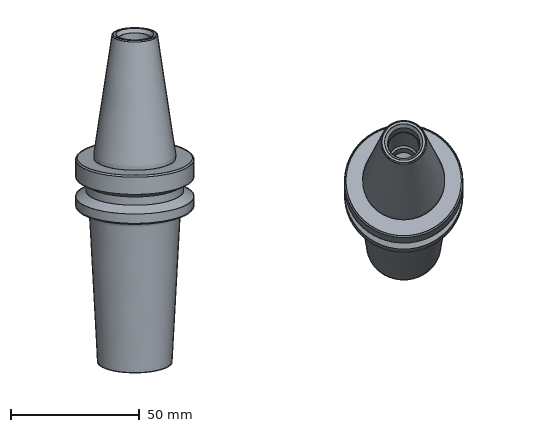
import cadquery as cq
import math

gauge_radius = 31.75 / 2
taper_slope = 7 / 48
shank_top = 48.4
shank_tip_radius = gauge_radius - shank_top * taper_slope
land_top = -0.4
land_radius = gauge_radius - land_top * taper_slope
tip_chamfer = 0.4

flange_radius = 46 / 2
flange_top = -2.0
flange_bottom = -22.0
flange_chamfer = 0.6
groove_centre = -13.6
groove_mouth_width = 8.0
groove_floor_radius = 38 / 2
groove_wall_angle = 30

nose_end = -85.0
nose_end_radius = 29 / 2
nose_half_angle = 3
neck_fillet = 3.0

mouth_radius = 7.4
mouth_depth = 1.5
bore_radius = 12.5 / 2
bore_depth = 7.0
thread_radius = 12 / 2
thread_depth = 24.0
drill_radius = 10.2 / 2
drill_depth = 30.0
drill_point_angle = 118


def add_groove(profile):
    """Continue the outline down the flange rim through the V-sided groove."""
    wall_depth = flange_radius - groove_floor_radius
    mouth_half = groove_mouth_width / 2
    floor_half = mouth_half - wall_depth * math.tan(math.radians(groove_wall_angle))
    return (
        profile.lineTo(flange_radius, groove_centre + mouth_half)
        .lineTo(groove_floor_radius, groove_centre + floor_half)
        .lineTo(groove_floor_radius, groove_centre - floor_half)
        .lineTo(flange_radius, groove_centre - mouth_half)
    )


def add_neck(profile):
    """Continue the outline along the flange underside and blend into the nose taper."""
    angle = math.radians(nose_half_angle)
    centre_z = flange_bottom - neck_fillet
    nose_radius_at_centre = nose_end_radius + (centre_z - nose_end) * math.tan(angle)
    centre_r = nose_radius_at_centre + neck_fillet / math.cos(angle)

    def fillet_point(direction):
        return (centre_r + neck_fillet * math.cos(direction), centre_z + neck_fillet * math.sin(direction))

    start_direction = math.pi / 2
    end_direction = math.pi - angle
    middle_direction = (start_direction + end_direction) / 2
    return profile.lineTo(*fillet_point(start_direction)).threePointArc(
        fillet_point(middle_direction), fillet_point(end_direction)
    )


def holder_body():
    profile = (
        cq.Workplane("YZ")
        .moveTo(0, shank_top)
        .lineTo(shank_tip_radius - tip_chamfer, shank_top)
        .lineTo(shank_tip_radius + tip_chamfer * taper_slope, shank_top - tip_chamfer)
        .lineTo(land_radius, land_top)
        .lineTo(land_radius, flange_top)
        .lineTo(flange_radius - flange_chamfer, flange_top)
        .lineTo(flange_radius, flange_top - flange_chamfer)
    )
    profile = add_groove(profile)
    profile = profile.lineTo(flange_radius, flange_bottom + flange_chamfer)
    profile = profile.lineTo(flange_radius - flange_chamfer, flange_bottom)
    profile = add_neck(profile)
    profile = profile.lineTo(nose_end_radius, nose_end).lineTo(0, nose_end).close()
    return profile.revolve(360, (0, 0), (0, 1))


def pull_stud_hole():
    """Countersunk mouth, plain bore, thread and a drilled core with a conical end."""
    point_slope = math.tan(math.radians(drill_point_angle / 2))
    thread_end = shank_top - thread_depth
    thread_runout = (thread_radius - drill_radius) / point_slope
    drill_end = shank_top - drill_depth
    return (
        cq.Workplane("YZ")
        .moveTo(0, shank_top)
        .lineTo(mouth_radius, shank_top)
        .lineTo(bore_radius, shank_top - mouth_depth)
        .lineTo(bore_radius, shank_top - bore_depth)
        .lineTo(thread_radius, shank_top - bore_depth)
        .lineTo(thread_radius, thread_end)
        .lineTo(drill_radius, thread_end - thread_runout)
        .lineTo(drill_radius, drill_end)
        .lineTo(0, drill_end - drill_radius / point_slope)
        .close()
        .revolve(360, (0, 0), (0, 1))
    )


result = holder_body().cut(pull_stud_hole())